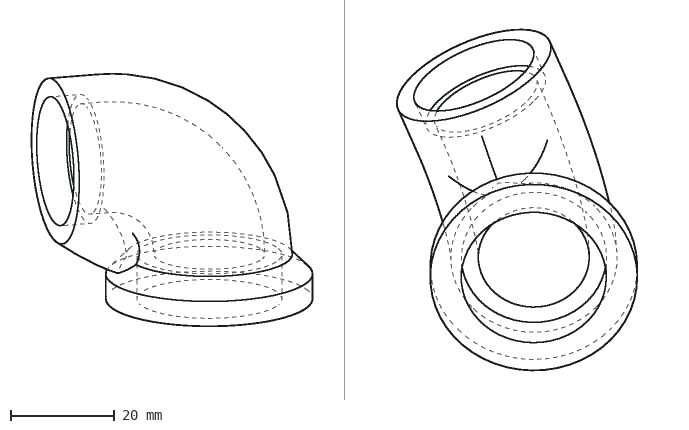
import cadquery as cq
import math

pipe_diameter = 32.15
bore_diameter = 21.4
outlet_socket_diameter = 25.0
outlet_socket_depth = 6.0
inlet_socket_diameter = 28.0
collar_diameter = 40.0
collar_height = 5.0
total_length = 51.0
total_height = 46.1

pipe_radius = pipe_diameter / 2
collar_radius = collar_diameter / 2
shoulder_height = collar_radius - pipe_radius
bend_start = collar_height + shoulder_height
outlet_height = total_height - pipe_radius
outlet_reach = total_length - collar_radius
bend_radius = outlet_height - bend_start

flank_angle = 50.0
keel_drop = 0.76
keel_length = 21.4


def bent_rod(diameter):
    """Solid rod along the elbow centerline, from the bend start to the outlet face."""
    bend = (
        cq.Workplane("XY", origin=(0, 0, bend_start))
        .circle(diameter / 2)
        .revolve(90, (0, -bend_radius), (1, -bend_radius))
    )
    return bend.union(outlet_rod(diameter, outlet_reach - bend_radius))


def outlet_rod(diameter, depth):
    """Cylinder running inward from the outlet face."""
    outlet_plane = cq.Workplane("XZ", origin=(0, -outlet_reach, outlet_height))
    return outlet_plane.circle(diameter / 2).extrude(-depth)


def make_collar():
    """Cylindrical collar with a conical shoulder narrowing to the pipe."""
    return (
        cq.Workplane("XZ")
        .lineTo(collar_radius, 0)
        .lineTo(collar_radius, collar_height)
        .lineTo(pipe_radius, bend_start)
        .lineTo(0, bend_start)
        .close()
        .revolve(360, (0, 0), (0, 1))
    )


def make_gusset():
    """Keel bounded by the outlet rim swept obliquely inward from both sides."""
    angle = math.radians(flank_angle)
    along_x = math.cos(angle)
    along_z = math.sin(angle)
    tangent_x = pipe_radius * along_z
    tangent_z = -pipe_radius * along_x
    flat_x = pipe_diameter * along_x
    flat_z = pipe_diameter * along_z

    rim = (
        cq.Workplane("XZ", origin=(0, -outlet_reach, outlet_height))
        .moveTo(tangent_x + flat_x, tangent_z + flat_z)
        .lineTo(tangent_x, tangent_z)
        .threePointArc((-pipe_radius * along_x, -pipe_radius * along_z), (-tangent_x, -tangent_z))
        .lineTo(-tangent_x + flat_x, -tangent_z + flat_z)
        .close()
    )
    drop = keel_drop * keel_length
    sideways = drop / math.tan(angle)
    sweep = cq.Vector(-sideways, keel_length, -drop)
    flank = cq.Workplane(cq.Solid.extrudeLinear(rim.val(), [], sweep))
    keel = flank.intersect(flank.mirror("YZ"))

    gusset_top = outlet_height + tangent_z
    limits = (
        cq.Workplane("XY", origin=(0, -outlet_reach, collar_height))
        .box(pipe_diameter, keel_length, gusset_top - collar_height, centered=(True, False, False))
    )
    return keel.intersect(limits)


body = make_collar().union(bent_rod(pipe_diameter)).union(make_gusset())
inlet_socket = cq.Workplane("XY").circle(inlet_socket_diameter / 2).extrude(bend_start)
result = (
    body.cut(bent_rod(bore_diameter))
    .cut(outlet_rod(outlet_socket_diameter, outlet_socket_depth))
    .cut(inlet_socket)
)